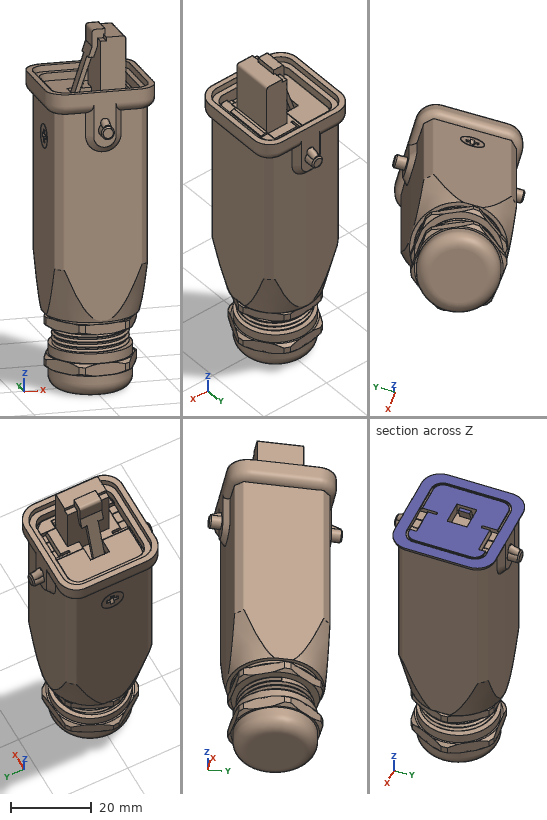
import cadquery as cq
import math


TOTAL_HEIGHT = 92.9
OVERALL_DEPTH = 33.4
RIM_TOP = 79.9
RIM_BOTTOM = 74.2
BODY_BOTTOM = 20.0
TAPER_START = 34.7
UPPER_NUT_TOP = 19.1
UPPER_NUT_BOTTOM = 16.4
CAP_TOP = 11.4
LOWER_NUT_TOP = 8.9
LOWER_NUT_BOTTOM = 5.8

BODY_LENGTH_X = 23.9
BODY_EDGE_Y = 12.0
BODY_RIDGE_Y = 12.3
BODY_CHAMFER = 1.95
BODY_EDGE_FILLET = 0.65
TAPER_TOP_RADIUS = 15.7
TAPER_BOTTOM_RADIUS = 12.2

RIM_LENGTH_X = 27.9
RIM_LENGTH_Y = 27.3
RIM_CORNER_RADIUS = 5.1
RIM_FILLET = 2.4
LIP_WIDTH = 1.5
LIP_DRAFT = 5.0
LIP_CORNER_RADIUS = 4.0
LEDGE_DEPTH = 1.6
CAVITY_INSET = 3.1
CAVITY_CORNER_RADIUS = 3.1
INSERT_TOP = 76.5
INSERT_GAP = 0.5
INSERT_GAP_DEPTH = 0.6

LUG_RADIUS = 2.9
LUG_CENTRE_Z = 68.5
LUG_ROOT_Y = 11.9
LUG_BEVEL = 1.95
PIN_RADIUS = 1.7
PIN_CENTRE_Z = 70.1
PIN_TIP_Y = OVERALL_DEPTH / 2
PIN_CHAMFER = 0.4
PIN_RIDGE_RADIUS = 1.1
PIN_RIDGE_TOP_Z = 73.0
PIN_TIP_TOP_Z = 71.8

NECK_RADIUS = 11.15
NUT_CORNER_RADIUS = 12.0
NUT_CORNER_HALF_ANGLE = 4.0
NUT_TURN = 5.0
NUT_CHAMFER_HEIGHT = 0.7
NUT_FACE_RADIUS = 11.0
CAP_RADIUS = 10.5
CAP_FILLET = 3.3
THREAD_CORE_RADIUS = 9.0
THREAD_CREST_RADIUS = 9.7
THREAD_OVERLAP = 0.2
THREAD_PITCH = 1.3
THREAD_ROOT_FLAT = 0.1
THREAD_TURNS = 4
THREAD_START_Z = 10.7

SCREW_Z = 65.5
SCREW_RADIUS = 3.1
SCREW_SINK = 0.1
CROSS_LENGTH = 3.25
CROSS_WIDTH = 1.0
CROSS_DEPTH = 1.1

PLUG_LEFT = 1.0
PLUG_RIGHT = 7.5
PLUG_WIDTH = 11.6
PLUG_TOP = 91.5
PLUG_STEP_X = 2.5
PLUG_STEP_Z = 90.6
PLUG_FILLET = 0.8
PLUG_FOOT_WIDTH = 12.0
PLUG_FOOT_MIDDLE = 8.3
PLUG_FOOT_RIGHT = 9.4
PLUG_FOOT_TOP = 77.1
PLUG_FOOT_DROP = 0.4
LATCH_WIDTH = 6.0
LATCH_STEM_WIDTH = 3.1
LATCH_LEFT = -0.4
LATCH_RIGHT = 3.0
LATCH_BEND_Z = 88.5
LATCH_SHOULDER_Z = 85.8
LATCH_SLOPE = 1 / 3
LATCH_THICKNESS = 1.1

RECESS_LEFT = -0.1
RECESS_RIGHT = 7.2
RECESS_DEPTH = 1.4
RECESS_INNER_Y = 8.3
RECESS_FLOOR_Y = 8.7
CONTACT_LEFT = 2.1
CONTACT_RIGHT = 5.1
CONTACT_DEPTH = 0.3
SLOT_LEFT = -0.65
SLOT_WIDTH = 0.6
STEP_X = -1.3
STEP_DEPTH = 0.2
LATCH_POCKET_LEFT = -5.2
LATCH_POCKET_WIDTH = 5.2
LATCH_POCKET_DEPTH = 3.25


def block(x0, x1, y0, y1, z0, z1):
    """Box between two opposite corners."""
    return cq.Workplane("XY").box(x1 - x0, y1 - y0, z1 - z0, centered=False).translate((x0, y0, z0))


def rounded_block(length_x, length_y, radius, z0, z1):
    """Centred box with rounded upright corners."""
    height = z1 - z0
    return (
        cq.Workplane("XY", origin=(0, 0, z0))
        .rect(length_x, length_y)
        .extrude(height)
        .edges("|Z")
        .fillet(radius)
    )


def cylinder(radius, z0, z1):
    return cq.Workplane("XY", origin=(0, 0, z0)).circle(radius).extrude(z1 - z0)


def make_body():
    """Chamfered square column whose corners run into a cone at the lower end."""
    half_x = BODY_LENGTH_X / 2
    flat_x = half_x - BODY_CHAMFER
    flat_y = BODY_EDGE_Y - BODY_CHAMFER
    column = (
        cq.Workplane("XY", origin=(0, 0, BODY_BOTTOM))
        .polyline([
            (half_x, -flat_y), (half_x, flat_y),
            (flat_x, BODY_EDGE_Y), (0, BODY_RIDGE_Y), (-flat_x, BODY_EDGE_Y),
            (-half_x, flat_y), (-half_x, -flat_y),
            (-flat_x, -BODY_EDGE_Y), (0, -BODY_RIDGE_Y), (flat_x, -BODY_EDGE_Y),
        ])
        .close()
        .extrude(RIM_BOTTOM + RIM_FILLET - BODY_BOTTOM)
    )
    corner_edges = column.edges("|Z").filter(lambda edge: abs(edge.Center().x) > flat_x / 2)
    column = column.newObject(corner_edges.vals()).fillet(BODY_EDGE_FILLET)
    slope = (TAPER_TOP_RADIUS - TAPER_BOTTOM_RADIUS) / (TAPER_START - BODY_BOTTOM)
    envelope_radius = TAPER_TOP_RADIUS + slope * (RIM_TOP - TAPER_START)
    cone = (
        cq.Workplane("XZ")
        .polyline([
            (0, BODY_BOTTOM), (TAPER_BOTTOM_RADIUS, BODY_BOTTOM),
            (envelope_radius, RIM_TOP), (0, RIM_TOP),
        ])
        .close()
        .revolve(360, (0, 0, 0), (0, 1, 0))
    )
    return column.intersect(cone)


def make_rim():
    rim = rounded_block(RIM_LENGTH_X, RIM_LENGTH_Y, RIM_CORNER_RADIUS, RIM_BOTTOM, RIM_TOP)
    return rim.faces("<Z").edges().fillet(RIM_FILLET)


def cut_opening(part):
    """Stepped opening in the rim, with a narrow gap around the insert at its floor."""
    lip = (
        cq.Workplane("XY", origin=(0, 0, RIM_TOP))
        .sketch()
        .rect(RIM_LENGTH_X - 2 * LIP_WIDTH, RIM_LENGTH_Y - 2 * LIP_WIDTH)
        .vertices()
        .fillet(LIP_CORNER_RADIUS)
        .finalize()
        .extrude(-LEDGE_DEPTH, taper=LIP_DRAFT)
    )
    cavity_x = RIM_LENGTH_X - 2 * CAVITY_INSET
    cavity_y = RIM_LENGTH_Y - 2 * CAVITY_INSET
    gap_floor = INSERT_TOP - INSERT_GAP_DEPTH
    cavity = rounded_block(cavity_x, cavity_y, CAVITY_CORNER_RADIUS, gap_floor, RIM_TOP)
    insert = rounded_block(
        cavity_x - 2 * INSERT_GAP,
        cavity_y - 2 * INSERT_GAP,
        CAVITY_CORNER_RADIUS - INSERT_GAP,
        gap_floor,
        INSERT_TOP,
    )
    return part.cut(lip).cut(cavity.cut(insert))


def cut_insert_recesses(part):
    """Step, latch pocket and the mirrored contact recesses in the insert."""
    edge_y = RIM_LENGTH_Y / 2 - CAVITY_INSET
    slot_end_y = PLUG_FOOT_WIDTH / 2
    part = part.cut(block(STEP_X, RECESS_RIGHT, -edge_y, edge_y, INSERT_TOP - STEP_DEPTH, INSERT_TOP))
    pocket_y = LATCH_POCKET_WIDTH / 2
    pocket_floor = INSERT_TOP - LATCH_POCKET_DEPTH
    part = part.cut(block(LATCH_POCKET_LEFT, PLUG_LEFT, -pocket_y, pocket_y, pocket_floor, INSERT_TOP))
    recess_floor = INSERT_TOP - RECESS_DEPTH
    recess = (
        cq.Workplane("YZ", origin=(RECESS_LEFT, 0, 0))
        .polyline([
            (RECESS_INNER_Y, INSERT_TOP), (RECESS_FLOOR_Y, recess_floor),
            (edge_y, recess_floor), (edge_y, INSERT_TOP),
        ])
        .close()
        .extrude(RECESS_RIGHT - RECESS_LEFT)
    )
    contact = block(
        CONTACT_LEFT, CONTACT_RIGHT, RECESS_FLOOR_Y, edge_y, recess_floor - CONTACT_DEPTH, recess_floor
    )
    slot = block(SLOT_LEFT, SLOT_LEFT + SLOT_WIDTH, slot_end_y, edge_y, recess_floor, INSERT_TOP)
    for cutter in (recess, contact, slot):
        part = part.cut(cutter).cut(cutter.mirror("XZ"))
    return part


def make_plug():
    """Plug block with a step along its upper left edge and a low foot on its right."""
    plug = (
        cq.Workplane("XZ", origin=(0, PLUG_WIDTH / 2, 0))
        .polyline([
            (PLUG_LEFT, RIM_BOTTOM), (PLUG_RIGHT, RIM_BOTTOM), (PLUG_RIGHT, PLUG_TOP),
            (PLUG_STEP_X, PLUG_TOP), (PLUG_STEP_X, PLUG_STEP_Z), (PLUG_LEFT, PLUG_STEP_Z),
        ])
        .close()
        .extrude(PLUG_WIDTH)
    )
    foot = (
        cq.Workplane("XZ", origin=(0, PLUG_FOOT_WIDTH / 2, 0))
        .polyline([
            (PLUG_LEFT, RIM_BOTTOM), (PLUG_FOOT_RIGHT, RIM_BOTTOM),
            (PLUG_FOOT_RIGHT, PLUG_FOOT_TOP - PLUG_FOOT_DROP), (PLUG_FOOT_MIDDLE, PLUG_FOOT_TOP),
            (PLUG_RIGHT, PLUG_FOOT_TOP), (PLUG_RIGHT, INSERT_TOP - STEP_DEPTH),
            (PLUG_LEFT, INSERT_TOP - STEP_DEPTH),
        ])
        .close()
        .extrude(PLUG_FOOT_WIDTH)
    )
    return plug.faces(">Z").edges(">X").fillet(PLUG_FILLET).union(foot)


def make_latch():
    """Hooked head on the plug with a sloping stem that narrows below its shoulder."""
    foot_z = INSERT_TOP - LATCH_POCKET_DEPTH
    foot_x = LATCH_LEFT - LATCH_SLOPE * (LATCH_BEND_Z - foot_z)
    latch = (
        cq.Workplane("XZ", origin=(0, LATCH_WIDTH / 2, 0))
        .polyline([
            (foot_x, foot_z), (LATCH_LEFT, LATCH_BEND_Z), (LATCH_LEFT, TOTAL_HEIGHT),
            (LATCH_RIGHT, TOTAL_HEIGHT), (LATCH_RIGHT, PLUG_TOP), (PLUG_STEP_X, PLUG_TOP),
            (PLUG_STEP_X, PLUG_STEP_Z), (PLUG_LEFT, PLUG_STEP_Z), (PLUG_LEFT, LATCH_BEND_Z),
            (foot_x + LATCH_THICKNESS, foot_z),
        ])
        .close()
        .extrude(LATCH_WIDTH)
        .faces(">Z")
        .edges("<X")
        .fillet(PLUG_FILLET)
    )
    head_y = LATCH_WIDTH / 2
    stem_y = LATCH_STEM_WIDTH / 2
    beside_stem = block(foot_x, PLUG_LEFT, stem_y, head_y, foot_z, LATCH_SHOULDER_Z)
    return latch.cut(beside_stem).cut(beside_stem.mirror("XZ"))


def make_lug():
    """Bevelled plate on the front below the rim, rounded at its lower end."""
    face_y = RIM_LENGTH_Y / 2
    plate_top = RIM_BOTTOM + RIM_FILLET
    upright = (
        cq.Workplane("XY", origin=(0, 0, LUG_CENTRE_Z))
        .polyline([
            (-LUG_RADIUS - LUG_BEVEL, -LUG_ROOT_Y), (-LUG_RADIUS, -face_y),
            (LUG_RADIUS, -face_y), (LUG_RADIUS + LUG_BEVEL, -LUG_ROOT_Y),
        ])
        .close()
        .extrude(plate_top - LUG_CENTRE_Z)
    )
    rounded_end = cq.Workplane(
        cq.Solid.makeCone(
            LUG_RADIUS + LUG_BEVEL, LUG_RADIUS, face_y - LUG_ROOT_Y,
            pnt=cq.Vector(0, -LUG_ROOT_Y, LUG_CENTRE_Z), dir=cq.Vector(0, -1, 0),
        )
    )
    return upright.union(rounded_end)


def make_pin():
    """Round pin with a ridge on top that falls away towards the tip."""
    root_y = RIM_LENGTH_Y / 2
    length = PIN_TIP_Y - root_y
    rod = (
        cq.Workplane("XZ", origin=(0, -root_y, PIN_CENTRE_Z))
        .circle(PIN_RADIUS)
        .extrude(length)
        .faces("<Y")
        .edges()
        .chamfer(PIN_CHAMFER)
    )
    ridge_drop = PIN_RIDGE_TOP_Z - PIN_TIP_TOP_Z
    slope = cq.Vector(0, -length, -ridge_drop)
    ridge = cq.Workplane(
        cq.Solid.makeCylinder(
            PIN_RIDGE_RADIUS,
            2 * slope.Length,
            pnt=cq.Vector(0, -root_y, PIN_RIDGE_TOP_Z - PIN_RIDGE_RADIUS) - slope / 2,
            dir=slope,
        )
    )
    pin_span = block(
        -PIN_RADIUS, PIN_RADIUS, PIN_CHAMFER - PIN_TIP_Y, -root_y, PIN_CENTRE_Z, PIN_RIDGE_TOP_Z
    )
    return rod.union(ridge.intersect(pin_span))


def cut_screw(part):
    """Slightly sunk round screw head with a cross recess on the left side."""
    face_x = -BODY_LENGTH_X / 2
    head_plane = cq.Workplane("YZ", origin=(face_x, 0, SCREW_Z))
    part = part.cut(head_plane.circle(SCREW_RADIUS).extrude(SCREW_SINK))
    wedge = (
        cq.Workplane("XZ", origin=(face_x + SCREW_SINK, CROSS_WIDTH / 2, SCREW_Z))
        .polyline([(0, -CROSS_LENGTH / 2), (0, CROSS_LENGTH / 2), (CROSS_DEPTH, 0)])
        .close()
        .extrude(CROSS_WIDTH)
    )
    screw_axis = ((0, 0, SCREW_Z), (1, 0, SCREW_Z))
    return part.cut(wedge).cut(wedge.rotate(*screw_axis, 90))


def make_nut(z0, z1, chamfer_top):
    """Hexagon with flattened corners and bevelled rims."""
    angles = [
        math.radians(NUT_TURN + 60 * corner + side * NUT_CORNER_HALF_ANGLE)
        for corner in range(6)
        for side in (-1, 1)
    ]
    points = [(NUT_CORNER_RADIUS * math.cos(a), NUT_CORNER_RADIUS * math.sin(a)) for a in angles]
    hexagon = cq.Workplane("XY", origin=(0, 0, z0)).polyline(points).close().extrude(z1 - z0)
    envelope = cylinder(NUT_CORNER_RADIUS, z0, z1)
    bevelled = envelope.faces("<Z or >Z" if chamfer_top else "<Z")
    bevel = NUT_CORNER_RADIUS - NUT_FACE_RADIUS
    return hexagon.intersect(bevelled.edges().chamfer(NUT_CHAMFER_HEIGHT, bevel))


def make_thread():
    """Threaded stem between the cap and the upper nut."""
    core = cylinder(THREAD_CORE_RADIUS, LOWER_NUT_TOP, UPPER_NUT_TOP)
    root = THREAD_CORE_RADIUS - THREAD_OVERLAP
    half = (THREAD_PITCH - THREAD_ROOT_FLAT) / 2
    helix = cq.Wire.makeHelix(
        THREAD_PITCH, THREAD_PITCH * THREAD_TURNS, root, center=cq.Vector(0, 0, THREAD_START_Z)
    )
    ridge = (
        cq.Workplane("XZ", origin=(0, 0, THREAD_START_Z))
        .polyline([(root, -half), (THREAD_CREST_RADIUS, 0), (root, half)])
        .close()
        .sweep(helix, isFrenet=True)
    )
    return core.union(ridge)


def make_gland():
    neck = cylinder(NECK_RADIUS, UPPER_NUT_TOP, BODY_BOTTOM)
    cap = cylinder(CAP_RADIUS, 0, CAP_TOP).faces("<Z").edges().fillet(CAP_FILLET)
    upper_nut = make_nut(UPPER_NUT_BOTTOM, UPPER_NUT_TOP, chamfer_top=False)
    lower_nut = make_nut(LOWER_NUT_BOTTOM, LOWER_NUT_TOP, chamfer_top=True)
    return make_thread().union(cap).union(neck).union(upper_nut).union(lower_nut)


housing = make_body().union(make_rim())
for side_feature in (make_lug(), make_pin()):
    housing = housing.union(side_feature).union(side_feature.mirror("XZ"))
housing = cut_screw(cut_insert_recesses(cut_opening(housing)))
result = housing.union(make_plug()).union(make_latch()).union(make_gland())